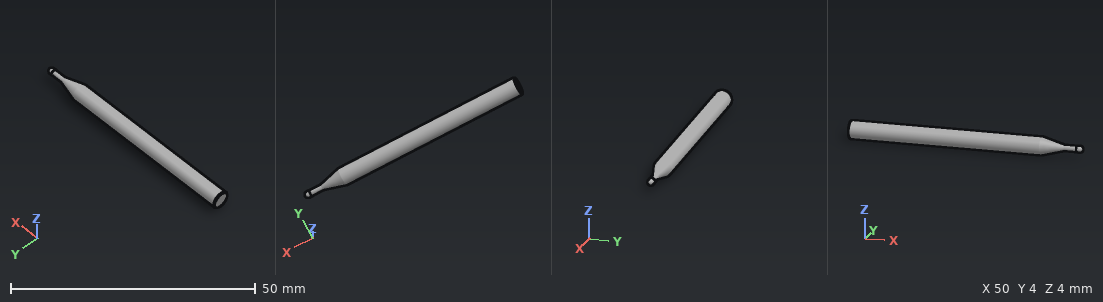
import cadquery as cq
import math

total_length = 50.0
shank_radius = 2.0
shank_chamfer = 0.2
shank_end = 41.15
cone_end = 45.95
neck_radius = 0.7
head_start = 48.65
ball_radius = 0.75

ball_center = total_length - ball_radius
ball_arc_offset = ball_radius * math.sqrt(0.5)

profile = (
    cq.Workplane("XY")
    .moveTo(0, 0)
    .lineTo(0, shank_radius - shank_chamfer)
    .lineTo(shank_chamfer, shank_radius)
    .lineTo(shank_end, shank_radius)
    .lineTo(cone_end, neck_radius)
    .lineTo(head_start, neck_radius)
    .lineTo(head_start, ball_radius)
    .lineTo(ball_center, ball_radius)
    .threePointArc(
        (ball_center + ball_arc_offset, ball_arc_offset),
        (total_length, 0),
    )
    .close()
)

result = profile.revolve(360, (0, 0, 0), (1, 0, 0))